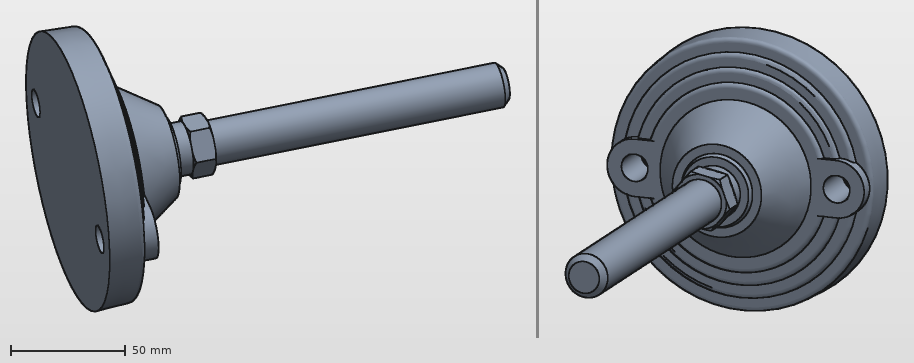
import cadquery as cq
import math

TOTAL_LENGTH = 200.0

SOLE_RADIUS = 62.5
RIM_RADIUS = 61.8
TERRACE_COUNT = 4
TERRACE_PITCH = 6.3
TERRACE_DROP = 2.1
TOP_TERRACE_Y = 23.0
CONE_BASE_RADIUS = 35.5
CONE_TOP_RADIUS = 21.0
CONE_TOP_Y = 44.8
COLLAR_BASE_RADIUS = 16.8
COLLAR_TOP_RADIUS = 15.8
COLLAR_TOP_Y = 47.0

BOLT_OFFSET = 47.5
BOLT_HOLE_DIAMETER = 12.5
LUG_WIDTH = 26.0
LUG_BASE_Y = TOP_TERRACE_Y - TERRACE_COUNT * TERRACE_DROP

NECK_DIAMETER = 23.8
HEX_START_Y = 53.8
HEX_HEIGHT = 10.5
HEX_ACROSS_FLATS = 24.0
HEX_TURN = -10.0
HEX_CORNER_CHAMFER = 1.5
HEX_CHAMFER_HEIGHT = 0.8
ROD_DIAMETER = 20.0
ROD_CHAMFER_WIDTH = 2.8
ROD_CHAMFER_LENGTH = 3.0


def plane_at(y):
    """Plane across the axis: local x is X, local y is -Z, normal is +Y."""
    return cq.Plane(origin=(0, y, 0), xDir=(1, 0, 0), normal=(0, 1, 0))


def cylinder(diameter, start_y, end_y):
    return cq.Workplane(plane_at(start_y)).circle(diameter / 2).extrude(end_y - start_y)


def revolve_about_y(profile):
    return profile.close().revolve(360, (0, 0, 0), (0, 1, 0))


def make_foot_blank():
    profile = cq.Workplane("XY").lineTo(SOLE_RADIUS, 0)
    for step in range(TERRACE_COUNT):
        outer_radius = RIM_RADIUS - step * TERRACE_PITCH
        base_y = LUG_BASE_Y + step * TERRACE_DROP
        diagonal = TERRACE_DROP * math.sqrt(0.5)
        round_centre = outer_radius - TERRACE_DROP
        profile = (
            profile.lineTo(outer_radius, base_y)
            .threePointArc(
                (round_centre + diagonal, base_y + diagonal),
                (round_centre, base_y + TERRACE_DROP),
            )
        )
    profile = (
        profile.lineTo(CONE_BASE_RADIUS, TOP_TERRACE_Y)
        .lineTo(CONE_TOP_RADIUS, CONE_TOP_Y)
        .lineTo(COLLAR_BASE_RADIUS, CONE_TOP_Y)
        .lineTo(COLLAR_TOP_RADIUS, COLLAR_TOP_Y)
        .lineTo(0, COLLAR_TOP_Y)
    )
    return revolve_about_y(profile)


def make_lug_pair():
    """One long slot shape through the cone gives both lugs."""
    length = 2 * BOLT_OFFSET + LUG_WIDTH
    height = TOP_TERRACE_Y - LUG_BASE_Y
    return cq.Workplane(plane_at(LUG_BASE_Y)).slot2D(length, LUG_WIDTH).extrude(height)


def make_foot():
    foot = make_foot_blank().union(make_lug_pair())
    for side in (-1, 1):
        hole = cylinder(BOLT_HOLE_DIAMETER, 0, TOP_TERRACE_Y)
        foot = foot.cut(hole.translate((side * BOLT_OFFSET, 0, 0)))
    return foot


def make_hexagon():
    corner_radius = HEX_ACROSS_FLATS / math.sqrt(3)
    hexagon = (
        cq.Workplane(plane_at(HEX_START_Y))
        .transformed(rotate=(0, 0, HEX_TURN))
        .polygon(6, 2 * corner_radius)
        .extrude(HEX_HEIGHT)
    )
    end_radius = corner_radius - HEX_CORNER_CHAMFER
    end_y = HEX_START_Y + HEX_HEIGHT
    corner_trim = revolve_about_y(
        cq.Workplane("XY")
        .moveTo(0, HEX_START_Y)
        .lineTo(end_radius, HEX_START_Y)
        .lineTo(corner_radius, HEX_START_Y + HEX_CHAMFER_HEIGHT)
        .lineTo(corner_radius, end_y - HEX_CHAMFER_HEIGHT)
        .lineTo(end_radius, end_y)
        .lineTo(0, end_y)
    )
    return hexagon.intersect(corner_trim)


def make_spindle():
    """The spindle stands on the collar's flat top."""
    neck = cylinder(NECK_DIAMETER, COLLAR_TOP_Y, HEX_START_Y)
    rod = cylinder(ROD_DIAMETER, HEX_START_Y + HEX_HEIGHT, TOTAL_LENGTH)
    rod = rod.faces(">Y").chamfer(ROD_CHAMFER_LENGTH, ROD_CHAMFER_WIDTH)
    return neck.union(make_hexagon()).union(rod)


foot = make_foot()
spindle = make_spindle()
result = cq.Compound.makeCompound([foot.solids().val(), spindle.solids().val()])